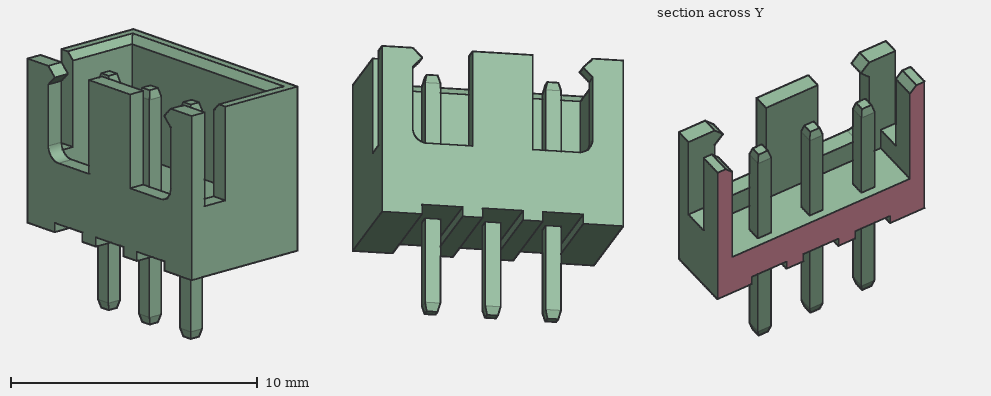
import cadquery as cq

length = 10.0
depth = 5.75
height = 7.0
wall = 0.71
floor_thickness = 2.0
rim_chamfer = 0.32
front = -depth / 2
inner_front = front + wall

total_height = 10.5
pin_count = 3
pitch = 2.5
pin_width = 0.64
tip_width = 0.45
tip_length = 0.36
pin_top = height - 0.5
pin_bottom = height - total_height
pin_y = front + 2.2
pin_positions = [(i - (pin_count - 1) / 2) * pitch for i in range(pin_count)]

opening_depth = 4.0
opening_bottom = height - opening_depth
window_inner = pitch / 2
window_outer = 3.73
window_radius = 0.6
barb = 0.4
side_slot_width = 1.12

channel_width = 1.68
channel_height = 0.4


def block(x_size, y_min, y_max, z_min, z_max, x_center=0):
    """Box centred on x_center, spanning the given Y and Z ranges."""
    origin = (x_center, y_min, z_min)
    return cq.Workplane("XY", origin=origin).box(
        x_size, y_max - y_min, z_max - z_min, centered=(True, False, False)
    )


def make_cavity():
    """Pocket with a sloped lead-in along the back and side walls."""
    inner_length = length - 2 * wall
    inner_back = depth / 2 - wall
    pocket = block(inner_length, inner_front, inner_back, floor_thickness, height)
    rim_length = inner_length + 2 * rim_chamfer
    lead_in = (
        cq.Workplane("XY", origin=(0, 0, height - rim_chamfer))
        .rect(inner_length, 2 * inner_back)
        .workplane(offset=rim_chamfer)
        .rect(rim_length, 2 * (inner_back + rim_chamfer))
        .loft(ruled=True)
        .intersect(block(length, inner_front, depth / 2, 0, height))
    )
    return pocket.union(lead_in)


def make_window():
    """Right-hand front window, narrowed at the mouth by a pointed barb."""
    return (
        cq.Workplane("XZ", origin=(0, inner_front, 0))
        .moveTo(window_inner, height)
        .lineTo(window_outer, height)
        .lineTo(window_outer - barb, height - barb)
        .lineTo(window_outer, height - 2 * barb)
        .lineTo(window_outer, opening_bottom + window_radius)
        .radiusArc((window_outer - window_radius, opening_bottom), window_radius)
        .lineTo(window_inner, opening_bottom)
        .close()
        .extrude(wall)
    )


def make_pin(x):
    """Square pin, tapered at both ends."""
    shank_bottom = pin_bottom + tip_length
    shank_top = pin_top - tip_length
    pin = block(pin_width, -pin_width / 2, pin_width / 2, shank_bottom, shank_top)
    for shank_end, tip_end in ((shank_bottom, pin_bottom), (shank_top, pin_top)):
        tip = (
            cq.Workplane("XY", origin=(0, 0, shank_end))
            .rect(pin_width, pin_width)
            .workplane(offset=tip_end - shank_end)
            .rect(tip_width, tip_width)
            .loft(ruled=True)
        )
        pin = pin.union(tip)
    return pin.translate((x, pin_y, 0))


housing = block(length, front, depth / 2, 0, height).cut(make_cavity())

window = make_window()
housing = housing.cut(window).cut(window.mirror("YZ"))

housing = housing.cut(block(length, inner_front, inner_front + side_slot_width, opening_bottom, height))

for x in pin_positions:
    housing = housing.cut(block(channel_width, front, depth / 2, 0, channel_height, x))

result = housing
for x in pin_positions:
    result = result.union(make_pin(x))